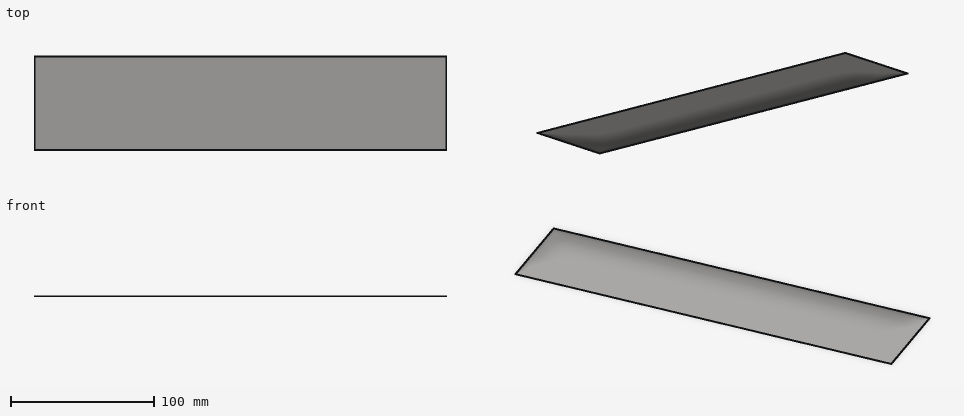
import cadquery as cq

plate_length = 287.0
plate_width = 65.5
plate_thickness = 0.1

result = cq.Workplane("XY").box(plate_length, plate_width, plate_thickness)